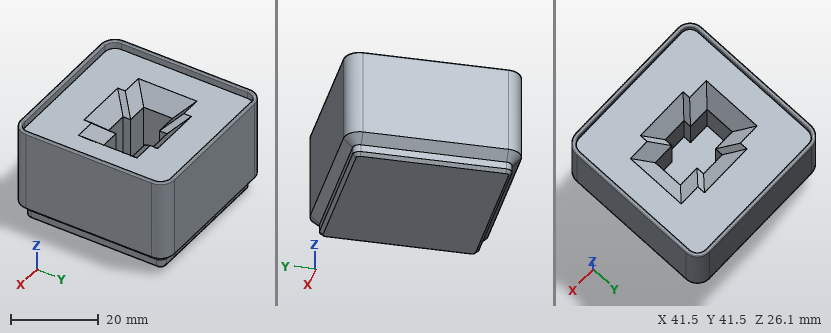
import cadquery as cq

BODY_SIDE = 41.5
BODY_CORNER_RADIUS = 3.75
TOTAL_HEIGHT = 26.14

FOOT_LOWER_CHAMFER = 0.8
FOOT_WALL_HEIGHT = 1.8
FOOT_UPPER_CHAMFER = 2.15

RIM_WIDTH = 1.0
RIM_FILLET = 0.3
RIM_HEIGHT = 2.0

POCKET_WIDE_MOUTH = (25.3, 15.8)
POCKET_TALL_MOUTH = (14.2, 19.9)
POCKET_BEVEL = 4.0
POCKET_DEPTH = 17.0

FLOOR_Z = TOTAL_HEIGHT - RIM_HEIGHT


def square_sketch(inset):
    """Rounded square set in evenly from the body's outer walls."""
    side = BODY_SIDE - 2 * inset
    return cq.Sketch().rect(side, side).vertices().fillet(BODY_CORNER_RADIUS - inset)


def straight_section(inset, z_bottom, z_top):
    """Rounded square prism between two heights."""
    base = cq.Workplane("XY", origin=(0, 0, z_bottom))
    return base.placeSketch(square_sketch(inset)).extrude(z_top - z_bottom)


def sloped_section(inset_bottom, inset_top, z_bottom, z_top):
    """Rounded square section whose inset changes steadily between two heights."""
    top_sketch = square_sketch(inset_top).moved(cq.Location(cq.Vector(0, 0, z_top - z_bottom)))
    base = cq.Workplane("XY", origin=(0, 0, z_bottom))
    return base.placeSketch(square_sketch(inset_bottom), top_sketch).loft()


def make_block():
    """Solid body on its stepped foot, with its top outer edge rounded."""
    foot_wall_bottom = FOOT_LOWER_CHAMFER
    foot_wall_top = foot_wall_bottom + FOOT_WALL_HEIGHT
    body_bottom = foot_wall_top + FOOT_UPPER_CHAMFER
    foot_inset = FOOT_UPPER_CHAMFER

    block = sloped_section(foot_inset + FOOT_LOWER_CHAMFER, foot_inset, 0, foot_wall_bottom)
    block = block.union(straight_section(foot_inset, foot_wall_bottom, foot_wall_top))
    block = block.union(sloped_section(foot_inset, 0, foot_wall_top, body_bottom))
    block = block.union(straight_section(0, body_bottom, TOTAL_HEIGHT))
    return block.faces(">Z").edges().fillet(RIM_FILLET)


def hollow_rim(block):
    """Sink the top face to leave the rim standing, then round the rim's inner edge."""
    hollowed = block.cut(straight_section(RIM_WIDTH, FLOOR_Z, TOTAL_HEIGHT))
    inner_edges = hollowed.faces(">Z").wires(cq.selectors.LengthNthSelector(0)).edges()
    return inner_edges.fillet(RIM_FILLET)


def make_pocket_arm(mouth):
    """One rectangle of the cross: a 45 degree mouth above a straight shaft."""
    mouth_x, mouth_y = mouth
    shaft_x = mouth_x - 2 * POCKET_BEVEL
    shaft_y = mouth_y - 2 * POCKET_BEVEL
    top = cq.Workplane("XY", origin=(0, 0, FLOOR_Z))
    funnel = top.rect(mouth_x, mouth_y).workplane(offset=-POCKET_BEVEL).rect(shaft_x, shaft_y).loft()
    shaft = top.rect(shaft_x, shaft_y).extrude(-POCKET_DEPTH)
    return funnel.union(shaft)


result = hollow_rim(make_block())
for pocket_mouth in (POCKET_WIDE_MOUTH, POCKET_TALL_MOUTH):
    result = result.cut(make_pocket_arm(pocket_mouth))